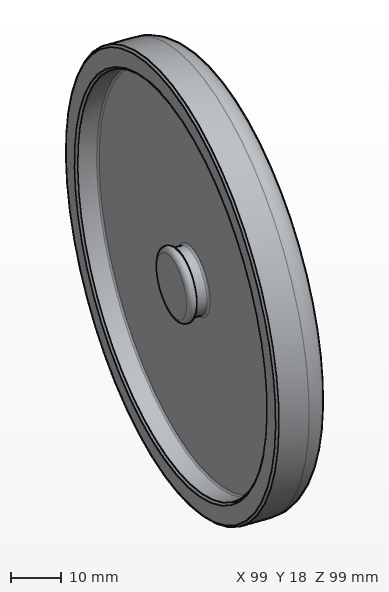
import cadquery as cq
import math

outer_radius = 49.5
total_height = 18.0
side_height = 7.0
shoulder_radius = 4.95
rim_chamfer = 0.5

recess_radius = 44.5
recess_depth = 4.95
recess_mouth_chamfer = 0.5
recess_floor_fillet = 0.4

knob_radius = 8.0
knob_height = 4.8
knob_lip_radius = 1.1
neck_radius = 7.2
neck_base_fillet = 0.5

shoulder_center_radius = outer_radius - shoulder_radius
shoulder_crown_drop = total_height - side_height
dome_radius = (shoulder_center_radius**2 + shoulder_crown_drop**2 - shoulder_radius**2) / (
    2 * (shoulder_crown_drop - shoulder_radius)
)
dome_center_y = total_height - dome_radius
tangent_angle = math.asin(shoulder_center_radius / (dome_radius - shoulder_radius))


def polar_point(center_x, center_y, radius, angle):
    """Point on an arc, with the angle measured from +Y outwards."""
    return (center_x + radius * math.sin(angle), center_y + radius * math.cos(angle))


def revolve_about_y(profile):
    return profile.close().revolve(360, (0, 0, 0), (0, 1, 0))


def make_body():
    dome_edge = polar_point(0, dome_center_y, dome_radius, tangent_angle)
    dome_middle = polar_point(0, dome_center_y, dome_radius, tangent_angle / 2)
    shoulder_angle = (tangent_angle + math.pi / 2) / 2
    shoulder_middle = polar_point(shoulder_center_radius, side_height, shoulder_radius, shoulder_angle)
    profile = (
        cq.Workplane("ZY")
        .lineTo(outer_radius - rim_chamfer, 0)
        .lineTo(outer_radius, rim_chamfer)
        .lineTo(outer_radius, side_height)
        .threePointArc(shoulder_middle, dome_edge)
        .threePointArc(dome_middle, (0, total_height))
    )
    return revolve_about_y(profile)


def make_recess():
    profile = (
        cq.Workplane("ZY")
        .lineTo(recess_radius + recess_mouth_chamfer, 0)
        .lineTo(recess_radius, recess_mouth_chamfer)
        .lineTo(recess_radius, recess_depth - recess_floor_fillet)
        .radiusArc((recess_radius - recess_floor_fillet, recess_depth), -recess_floor_fillet)
        .lineTo(0, recess_depth)
    )
    return revolve_about_y(profile)


def make_knob():
    """Knob on the recess floor: a neck under a half-round lip."""
    face_y = recess_depth - knob_height
    lip_center_radius = knob_radius - knob_lip_radius
    lip_center_y = face_y + knob_lip_radius
    lip_end_y = lip_center_y + math.sqrt(knob_lip_radius**2 - (neck_radius - lip_center_radius) ** 2)
    profile = (
        cq.Workplane("ZY")
        .moveTo(0, face_y)
        .lineTo(lip_center_radius, face_y)
        .threePointArc((knob_radius, lip_center_y), (neck_radius, lip_end_y))
        .lineTo(neck_radius, recess_depth - neck_base_fillet)
        .radiusArc((neck_radius + neck_base_fillet, recess_depth), neck_base_fillet)
        .lineTo(0, recess_depth)
    )
    return revolve_about_y(profile)


result = make_body().cut(make_recess()).union(make_knob())